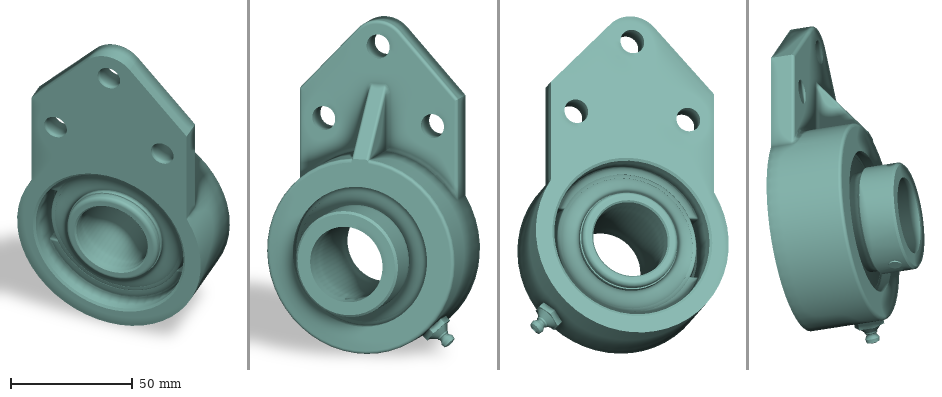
import cadquery as cq
import math


housing_radius = 82.0 / 2
housing_depth = 32.1
housing_rim_round = 1.4
plate_thickness = 9.9
plate_edge_round = 1.4
plate_half_width = 34.7
plate_corner_height = 64.2
overall_height = 136.0
plate_top = overall_height - housing_radius
plate_tip_radius = 12.8
bolt_hole_diameter = 10.0
top_hole_height = 84.2
side_hole_height = 52.4
side_hole_offset = 23.8
rib_width = 7.6
rib_root = 4.1
rib_edge_round = 1.2
rib_foot_height = 68.1
foot_fillet = 1.5

bearing_center = 18.6
sphere_radius = 62.0 / 2
recess_mouth_radius = 34.0
recess_radius = 66.0 / 2
recess_floor_fillet = 0.5
recess_lead_in = 0.7
seat_opening_radius = 29.4
seat_half_width = math.sqrt(sphere_radius**2 - seat_opening_radius**2)
recess_depth = bearing_center - seat_half_width
seat_rear = bearing_center + seat_half_width
slot_width = 25.0
slot_floor_radius = 32.4
slot_edge_round = 0.7

outer_ring_half_width = 9.5
outer_ring_edge_round = 0.4
outer_ring_bore_radius = 55.9 / 2
seal_inset = 0.1
seal_outer_thickness = 1.4
seal_dish = 1.1
bore_radius = 31.7 / 2
inner_ring_radius = 41.3 / 2
front_end_radius = 40.4 / 2
inner_ring_start = 2.5
inner_ring_step = 6.0
inner_ring_round = 1.6
bore_chamfer = 0.7

collar_radius = 44.5 / 2
collar_start = 33.2
collar_end = 48.7
collar_chamfer = 1.0
screw_diameter = 5.3
screw_projection = 0.4
screw_position = 42.7

nipple_position = 22.0
nipple_angle = 45
shank_diameter = 6.0
shank_length = 5.5
hex_across_flats = 11.0
hex_height = 2.6
cone_base_radius = 5.0
shoulder_radius = 5.3 / 2
shoulder_start = 46.0
shoulder_end = 46.5
neck_radius = 2.2
neck_start = 46.9
neck_end = 47.5
head_radius = 6.0 / 2
head_start = 48.8
head_tip_radius = 2.7
head_end = 50.5
nipple_tip = 51.0
grease_hole_diameter = 2.5
grease_hole_depth = 1.4


def cylinder(radius, start, end):
    """Cylinder on the bearing axis between two Y positions."""
    return cq.Workplane("XZ", origin=(0, start, 0)).circle(radius).extrude(start - end)


def nipple_frame(distance):
    """Workplane across the nipple axis at a distance from the bearing axis."""
    angle = math.radians(nipple_angle)
    outward = (-math.cos(angle), 0, -math.sin(angle))
    origin = (distance * outward[0], nipple_position, distance * outward[2])
    return cq.Workplane(cq.Plane(origin=origin, xDir=(0, 1, 0), normal=outward))


def make_plate():
    """Pointed mounting plate whose straight sides run tangent into a round tip."""
    tip_center = plate_top - plate_tip_radius
    rise = tip_center - plate_corner_height
    tip_distance = math.hypot(plate_half_width, rise)
    tangent_angle = math.acos(plate_tip_radius / tip_distance) - math.atan2(rise, plate_half_width)
    tangent_x = plate_tip_radius * math.cos(tangent_angle)
    tangent_z = tip_center + plate_tip_radius * math.sin(tangent_angle)
    plate = (
        cq.Workplane("XZ")
        .moveTo(-plate_half_width, 0)
        .lineTo(-plate_half_width, plate_corner_height)
        .lineTo(-tangent_x, tangent_z)
        .threePointArc((0, plate_top), (tangent_x, tangent_z))
        .lineTo(plate_half_width, plate_corner_height)
        .lineTo(plate_half_width, 0)
        .close()
        .extrude(-plate_thickness)
    )
    return plate.faces(">Y").edges("not <Z").fillet(plate_edge_round)


def make_rib():
    """Sloping rib, round along its free edges, from the rim of the hub down to the plate."""
    rib = (
        cq.Workplane("YZ", origin=(-rib_width / 2, 0, 0))
        .moveTo(0, housing_radius - rib_root)
        .lineTo(housing_depth, housing_radius - rib_root)
        .lineTo(housing_depth, housing_radius)
        .lineTo(plate_thickness, rib_foot_height)
        .lineTo(0, rib_foot_height)
        .close()
        .extrude(rib_width)
    )
    middle_of_slope = (0, (housing_depth + plate_thickness) / 2, (housing_radius + rib_foot_height) / 2)
    sloping_face = rib.faces(cq.selectors.NearestToPointSelector(middle_of_slope))
    return sloping_face.edges("not |X").fillet(rib_edge_round)


def fillet_plate_corners(housing):
    """Fillet where the hub and the rib rise from the plate."""
    margin = 0.1
    inside_plate = plate_half_width - 2 * plate_edge_round
    foot_edges = cq.selectors.BoxSelector(
        (-inside_plate, plate_thickness - margin, 0),
        (inside_plate, plate_thickness + margin, rib_foot_height + margin),
    )
    return housing.edges(foot_edges).fillet(foot_fillet)


def cut_seat(housing):
    """Tapered recess, spherical seat, rear opening and the slots for loading the bearing."""
    front_taper = (
        cq.Workplane("XY")
        .lineTo(recess_mouth_radius, 0)
        .lineTo(recess_radius, recess_lead_in)
        .lineTo(slot_floor_radius, bearing_center)
        .lineTo(0, bearing_center)
        .close()
        .revolve(360, (0, 0), (0, 1))
    )
    recess_block = cylinder(recess_mouth_radius, 0, recess_depth)
    recess = front_taper.intersect(recess_block).faces(">Y").edges().fillet(recess_floor_fillet)
    slot_half = slot_width / 2
    mouth_half = slot_half + slot_edge_round
    round_offset = slot_edge_round * (1 - math.sqrt(0.5))
    round_end = recess_depth + slot_edge_round
    round_middle = recess_depth + round_offset
    slot_block = (
        cq.Workplane("YZ")
        .moveTo(0, -mouth_half)
        .lineTo(recess_depth, -mouth_half)
        .threePointArc((round_middle, -slot_half - round_offset), (round_end, -slot_half))
        .lineTo(bearing_center, -slot_half)
        .lineTo(bearing_center, slot_half)
        .lineTo(round_end, slot_half)
        .threePointArc((round_middle, slot_half + round_offset), (recess_depth, mouth_half))
        .lineTo(0, mouth_half)
        .close()
        .extrude(recess_mouth_radius, both=True)
    )
    slots = front_taper.intersect(slot_block)
    seat = (
        cq.Workplane("XY")
        .lineTo(seat_opening_radius, 0)
        .lineTo(seat_opening_radius, recess_depth)
        .threePointArc((sphere_radius, bearing_center), (seat_opening_radius, seat_rear))
        .lineTo(seat_opening_radius, housing_depth)
        .lineTo(0, housing_depth)
        .close()
        .revolve(360, (0, 0), (0, 1))
    )
    return housing.cut(recess).cut(slots).cut(seat)


def make_housing():
    hub = cylinder(housing_radius, 0, housing_depth).faces(">Y").edges().fillet(housing_rim_round)
    casting = hub.union(make_plate()).union(make_rib())
    casting = cut_seat(fillet_plate_corners(casting))
    hole_places = [
        (0, top_hole_height),
        (-side_hole_offset, side_hole_height),
        (side_hole_offset, side_hole_height),
    ]
    bolt_holes = (
        cq.Workplane("XZ").pushPoints(hole_places).circle(bolt_hole_diameter / 2).extrude(-plate_thickness)
    )
    return casting.cut(bolt_holes).cut(nipple_shank())


def make_outer_ring():
    """Ring with a spherical outside that swivels in the seat of the housing."""
    front = bearing_center - outer_ring_half_width
    rear = bearing_center + outer_ring_half_width
    face_radius = math.sqrt(sphere_radius**2 - outer_ring_half_width**2)
    ring = (
        cq.Workplane("XY")
        .moveTo(outer_ring_bore_radius, front)
        .lineTo(face_radius, front)
        .threePointArc((sphere_radius, bearing_center), (face_radius, rear))
        .lineTo(outer_ring_bore_radius, rear)
        .close()
        .revolve(360, (0, 0), (0, 1))
    )
    return ring.edges(cq.selectors.RadiusNthSelector(1)).fillet(outer_ring_edge_round)


def make_seal(side):
    """Slightly dished seal ring; side is -1 for the front and +1 for the rear."""
    outer_face = outer_ring_half_width - seal_inset
    inner_face = outer_face - seal_outer_thickness
    profile = [
        (outer_ring_bore_radius, outer_face),
        (inner_ring_radius, outer_face + seal_dish),
        (inner_ring_radius, inner_face + seal_dish),
        (outer_ring_bore_radius, inner_face),
    ]
    points = [(radius, bearing_center + side * offset) for radius, offset in profile]
    return cq.Workplane("XY").polyline(points).close().revolve(360, (0, 0), (0, 1))


def make_inner_ring():
    """Ring with a narrower, rounded front end."""
    ring = cylinder(front_end_radius, inner_ring_start, inner_ring_step)
    ring = ring.faces("<Y").edges().fillet(inner_ring_round)
    ring = ring.union(cylinder(inner_ring_radius, inner_ring_step, collar_start))
    ring = ring.cut(cylinder(bore_radius, inner_ring_start, collar_start))
    return ring.faces("<Y").edges(cq.selectors.RadiusNthSelector(0)).chamfer(bore_chamfer)


def screw_cylinder(length):
    """Cylinder of the set screw, running upward from the screw's outer end."""
    screw_end = -collar_radius - screw_projection
    return (
        cq.Workplane("XY", origin=(0, screw_position, screw_end)).circle(screw_diameter / 2).extrude(length)
    )


def make_set_screw():
    return screw_cylinder(collar_radius + screw_projection - bore_radius)


def make_collar():
    collar = cylinder(collar_radius, collar_start, collar_end).edges().chamfer(collar_chamfer)
    bore = cylinder(bore_radius, collar_start, collar_end)
    screw_hole = screw_cylinder(collar_radius)
    return collar.cut(bore).cut(screw_hole)


def nipple_shank():
    """Shank that fills the matching hole in the hub."""
    return nipple_frame(housing_radius - shank_length).circle(shank_diameter / 2).extrude(shank_length)


def make_nipple():
    hexagon = (
        nipple_frame(housing_radius)
        .polygon(6, hex_across_flats / math.cos(math.pi / 6))
        .extrude(hex_height)
    )
    hex_top = housing_radius + hex_height
    across = nipple_frame(0).plane
    along = cq.Plane(origin=across.origin, xDir=across.xDir, normal=across.yDir * -1)
    spigot = (
        cq.Workplane(along)
        .polyline(
            [
                (0, hex_top),
                (cone_base_radius, hex_top),
                (shoulder_radius, shoulder_start),
                (shoulder_radius, shoulder_end),
                (neck_radius, neck_start),
                (neck_radius, neck_end),
                (head_radius, head_start),
                (head_tip_radius, head_end),
                (grease_hole_diameter / 2, nipple_tip),
                (0, nipple_tip),
            ]
        )
        .close()
        .revolve(360, (0, 0), (0, 1))
    )
    grease_hole = (
        nipple_frame(nipple_tip - grease_hole_depth)
        .circle(grease_hole_diameter / 2)
        .extrude(grease_hole_depth)
    )
    return nipple_shank().union(hexagon).union(spigot).cut(grease_hole)


housing = make_housing()
outer_ring = make_outer_ring()
inner_ring = make_inner_ring()
seals = [make_seal(side) for side in (-1, 1)]
collar = make_collar()
set_screw = make_set_screw()
nipple = make_nipple()

result = cq.Compound.makeCompound(
    [
        housing.val(),
        outer_ring.val(),
        inner_ring.val(),
        *[seal.val() for seal in seals],
        collar.val(),
        set_screw.val(),
        nipple.val(),
    ]
)